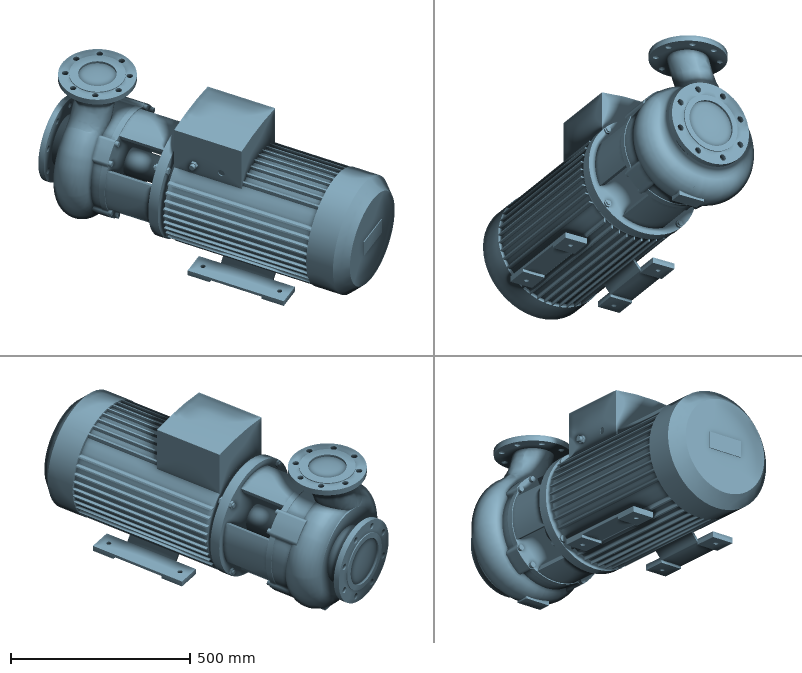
import cadquery as cq
import math


TUBE_R = 57.0
RIM_R = 258.7 / 2
RIM_CENTRE_Y = -18.53
TAIL_R = 117.3
TAIL_CENTRE = (-6.0, -10.5)
NOZZLE_START_ANGLE = 120.0
NOZZLE_TOP_SLOPE = 0.29
CASING_BACK_X = 83.0
COLLAR_R = 155.5
BASE_PAD = (40.0, 80.0, 60.0)
BASE_Z = -189.0

BOLT_HOLES = 8
FACE_HEIGHT = 3.0
FLANGE_T = 20.0
PORT_DEPTH = 7.0
SUCTION_X = -125.0
SUCTION_D = 250.0
SUCTION_FACE_D = 172.0
SUCTION_PCD = 210.0
SUCTION_HOLE_D = 19.0
SUCTION_BORE_D = 139.7
SUCTION_NECK_D = 149.7
SUCTION_HUB_D = 169.7
SUCTION_HUB_X = -84.0
DISCHARGE_Z = 280.0
DISCHARGE_D = 220.0
DISCHARGE_FACE_D = 158.0
DISCHARGE_PCD = 180.0
DISCHARGE_HOLE_D = 18.0
DISCHARGE_BORE_D = 107.1

LANTERN_PLATE_R = 157.5
LANTERN_PLATE_T = 18.0
ARM_OUTER_R = 155.0
ARM_INNER_R = 136.5
ARM_ANGLE = 50.2
MOTOR_FLANGE_X = 245.5
MOTOR_FLANGE_T = 29.5
MOTOR_FLANGE_D = 350.0
CASING_BOLT_D = 16.0
CASING_BOLT_LENGTH = 10.0
CASING_BOLT_YZ = (130.0, 89.0)
EAR_ROUND_R = 9.5
EAR_FILLET_R = 7.0
EAR_FRONT_X = 10.0
MATCH_TOLERANCE = 0.01
SHAFT_D = 80.0

FLANGE_BOLT_OFFSET = 116.0
FLANGE_BOLT_D = 13.0
FLANGE_BOLT_TIP = 11.0
NUT_ACROSS_FLATS = 19.0
NUT_T = 6.0

MOTOR_NECK_D = 269.0
MOTOR_X = 291.0
MOTOR_R = 175.0
CORE_R = 165.0
COWL_X = 737.0
COWL_CHAMFER_X = 820.0
COWL_BACK_X = 855.5
COWL_BACK_R = 140.0
FIN_COUNT = 9
FIN_PITCH = 24.0
FIN_T = 4.0
REAR_PLATE = (111.0, 49.0)
REAR_PLATE_Z = 5.5
REAR_X = 858.0

FOOT_X = 369.0
FOOT_LENGTH = 299.0
FOOT_OUTER_Y = 177.0
FOOT_WIDTH = 70.0
FOOT_TOP_Z = -165.0
FOOT_T = 17.0
FOOT_PAD_LENGTH = 69.0
FOOT_RELIEF = 8.0
FOOT_HOLE_D = 14.0
FOOT_HOLE_END = 30.0
LEG_LENGTH = 162.0
LEG_RISE = 35.0
LEG_RUN = 30.0
LEG_T = 10.0

BOX_SIDE = 210.0
BOX_BOTTOM_Z = 127.0
LID_Z = 177.5
LID_EDGE_Z = 263.0
LID_CROWN_Z = 270.0
ENTRY_Z = 161.0
ENTRY_SPACING = 84.0
ENTRY_D = 20.0
ENTRY_DEPTH = 3.0
GLAND_NUT_T = 8.0
GLAND_STEM_D = 16.0
GLAND_LENGTH = 18.0


def cylinder_x(x_start, x_end, diameter):
    """Cylinder along the X axis."""
    return cq.Workplane("YZ", origin=(x_start, 0, 0)).circle(diameter / 2).extrude(x_end - x_start)


def box_between(x_range, y_range, z_range):
    """Axis-aligned block given by its two limits on each axis."""
    lows, highs = zip(x_range, y_range, z_range)
    size = [high - low for low, high in zip(lows, highs)]
    return cq.Workplane("XY").box(*size, centered=False).translate(lows)


def rim_disc(rim_radius, angle):
    """Round-rimmed disc, or a sector of it, revolved about X from the +Y direction."""
    profile = (
        cq.Workplane("XY")
        .moveTo(-TUBE_R, 0)
        .lineTo(-TUBE_R, rim_radius)
        .threePointArc((0, rim_radius + TUBE_R), (TUBE_R, rim_radius))
        .lineTo(TUBE_R, 0)
        .close()
    )
    return profile.revolve(angle, (0, 0, 0), (1, 0, 0))


def drilled_flange(plane, diameter, face_d, pcd, hole_d):
    """Pipe flange with a raised face on its outer side, built outwards from the plane."""
    flange = cq.Workplane(plane).circle(diameter / 2).extrude(FLANGE_T - FACE_HEIGHT)
    flange = flange.union(cq.Workplane(plane).circle(face_d / 2).extrude(FLANGE_T))
    holes = (
        cq.Workplane(plane)
        .polarArray(pcd / 2, 180 / BOLT_HOLES, 360, BOLT_HOLES)
        .circle(hole_d / 2)
        .extrude(FLANGE_T)
    )
    return flange.cut(holes)


def make_casing():
    tail = rim_disc(TAIL_R, 360).translate((0, *TAIL_CENTRE))
    seam_angle = 270 + math.degrees(math.asin(-RIM_CENTRE_Y / RIM_R))
    rim = rim_disc(RIM_R, seam_angle - NOZZLE_START_ANGLE)
    rim = rim.rotate((0, 0, 0), (1, 0, 0), NOZZLE_START_ANGLE).translate((0, RIM_CENTRE_Y, 0))
    rim = rim.union(cylinder_x(-TUBE_R, TUBE_R, 2 * RIM_R).translate((0, RIM_CENTRE_Y, 0)))

    start = math.radians(NOZZLE_START_ANGLE)
    discharge_z = DISCHARGE_Z - FLANGE_T
    start_point = cq.Vector(0, RIM_CENTRE_Y + RIM_R * math.cos(start), RIM_R * math.sin(start))
    start_tangent = cq.Vector(0, math.sin(start), -math.cos(start))
    spine = cq.Edge.makeSpline(
        [start_point, cq.Vector(0, NOZZLE_TOP_SLOPE * FLANGE_T, DISCHARGE_Z)],
        tangents=[start_tangent, cq.Vector(0, NOZZLE_TOP_SLOPE, 1)],
    )
    pipe_plane = cq.Plane(origin=start_point, xDir=(1, 0, 0), normal=start_tangent)
    pipe = cq.Workplane(pipe_plane).circle(TUBE_R).sweep(cq.Workplane(cq.Wire.assembleEdges([spine])))
    flange_back = cq.Workplane("XY", origin=(0, 0, discharge_z))
    pipe = pipe.cut(flange_back.circle(DISCHARGE_D).extrude(DISCHARGE_D))

    suction_plane = cq.Plane(origin=(SUCTION_X + FLANGE_T, 0, 0), xDir=(0, 1, 0), normal=(-1, 0, 0))
    discharge_plane = cq.Plane(origin=(0, 0, discharge_z), xDir=(1, 0, 0), normal=(0, 0, 1))
    suction = drilled_flange(suction_plane, SUCTION_D, SUCTION_FACE_D, SUCTION_PCD, SUCTION_HOLE_D)
    discharge = drilled_flange(
        discharge_plane, DISCHARGE_D, DISCHARGE_FACE_D, DISCHARGE_PCD, DISCHARGE_HOLE_D
    )
    neck = cylinder_x(SUCTION_X + FLANGE_T, 0, SUCTION_NECK_D)
    hub = cylinder_x(SUCTION_HUB_X, 0, SUCTION_HUB_D)
    collar = eared_disc(EAR_FRONT_X, CASING_BACK_X, COLLAR_R)
    pad_x, pad_y, pad_z = BASE_PAD
    base_pad = box_between((-pad_x / 2, pad_x / 2), (-pad_y / 2, pad_y / 2), (BASE_Z, BASE_Z + pad_z))

    casing = tail
    for piece in (rim, pipe, collar, neck, hub, base_pad, suction, discharge):
        casing = casing.union(piece)
    suction_port = cylinder_x(SUCTION_X, SUCTION_X + PORT_DEPTH, SUCTION_BORE_D)
    discharge_port = (
        cq.Workplane("XY", origin=(0, 0, DISCHARGE_Z)).circle(DISCHARGE_BORE_D / 2).extrude(-PORT_DEPTH)
    )
    return casing.cut(suction_port).cut(discharge_port)


def eared_disc(x_start, x_end, radius):
    """Disc with four ears, each reaching around a pair of casing bolts."""
    ear_middle_r = math.hypot(*CASING_BOLT_YZ)
    long_side, short_side = CASING_BOLT_YZ
    length = x_end - x_start
    plane = cq.Workplane("YZ", origin=(x_start, 0, 0))
    ear = (
        plane.moveTo(0, 0)
        .lineTo(*outward(long_side, short_side))
        .radiusArc(outward(short_side, long_side), -(ear_middle_r + EAR_ROUND_R))
        .close()
        .extrude(length)
    )
    rounds = plane.pushPoints([(long_side, short_side), (short_side, long_side)])
    ear = ear.union(rounds.circle(EAR_ROUND_R).extrude(length))

    disc = cylinder_x(x_start, x_end, 2 * radius)
    for quarter in range(4):
        disc = disc.union(ear.rotate((0, 0, 0), (1, 0, 0), 90 * quarter))
    roots = disc.edges("|X").filter(lambda edge: is_ear_root(edge, radius))
    return roots.fillet(EAR_FILLET_R)


def outward(y, z):
    """Point on the outside of an ear, straight out from the casing bolt at y, z."""
    scale = 1 + EAR_ROUND_R / math.hypot(y, z)
    return (y * scale, z * scale)


def is_ear_root(edge, radius):
    """True for an edge where an ear meets the round of its disc."""
    middle = edge.Center()
    return abs(math.hypot(middle.y, middle.z) - radius) < MATCH_TOLERANCE


def make_lantern():
    plate_back = CASING_BACK_X + LANTERN_PLATE_T
    lantern = eared_disc(CASING_BACK_X, plate_back, LANTERN_PLATE_R)

    arm_ring = cylinder_x(plate_back, MOTOR_FLANGE_X, 2 * ARM_OUTER_R)
    arm_ring = arm_ring.cut(cylinder_x(plate_back, MOTOR_FLANGE_X, 2 * ARM_INNER_R))
    half_width = ARM_OUTER_R * math.tan(math.radians(ARM_ANGLE / 2))
    wedge = (
        cq.Workplane("YZ", origin=(plate_back, 0, 0))
        .polyline([(0, 0), (ARM_OUTER_R, half_width), (ARM_OUTER_R, -half_width)])
        .close()
        .extrude(MOTOR_FLANGE_X - plate_back)
    )
    motor_flange = cylinder_x(MOTOR_FLANGE_X, MOTOR_FLANGE_X + MOTOR_FLANGE_T, MOTOR_FLANGE_D)
    lantern = lantern.union(motor_flange)
    for quarter in range(4):
        lantern = lantern.union(arm_ring.intersect(wedge.rotate((0, 0, 0), (1, 0, 0), 90 * quarter)))

    long_side, short_side = CASING_BOLT_YZ
    bolt_places = [
        (y_sign * y, z_sign * z)
        for y, z in ((long_side, short_side), (short_side, long_side))
        for y_sign in (-1, 1)
        for z_sign in (-1, 1)
    ]
    bolt_heads = (
        cq.Workplane("YZ", origin=(plate_back, 0, 0))
        .pushPoints(bolt_places)
        .circle(CASING_BOLT_D / 2)
        .extrude(CASING_BOLT_LENGTH)
    )
    return lantern.union(bolt_heads)


def make_flange_bolt(y, z):
    """Stud through the motor flange with a hexagon nut on each face."""
    front = MOTOR_FLANGE_X
    back = MOTOR_FLANGE_X + MOTOR_FLANGE_T
    nut_corner_d = NUT_ACROSS_FLATS / math.cos(math.pi / 6)
    bolt = cylinder_x(front - FLANGE_BOLT_TIP, back + NUT_T, FLANGE_BOLT_D)
    for nut_x in (front - NUT_T, back):
        bolt = bolt.union(cq.Workplane("YZ", origin=(nut_x, 0, 0)).polygon(6, nut_corner_d).extrude(NUT_T))
    return bolt.translate((0, y, z))


def make_foot():
    """Foot on the +Y side: a plate relieved between two pads, and a leg up to the motor."""
    inner_y = FOOT_OUTER_Y - FOOT_WIDTH
    bottom_z = FOOT_TOP_Z - FOOT_T
    foot_end = FOOT_X + FOOT_LENGTH
    foot = box_between((FOOT_X, foot_end), (inner_y, FOOT_OUTER_Y), (bottom_z, FOOT_TOP_Z))
    relief = box_between(
        (FOOT_X + FOOT_PAD_LENGTH, foot_end - FOOT_PAD_LENGTH),
        (inner_y, FOOT_OUTER_Y),
        (bottom_z, bottom_z + FOOT_RELIEF),
    )
    middle_y = (inner_y + FOOT_OUTER_Y) / 2
    holes = (
        cq.Workplane("XY", origin=(0, 0, bottom_z))
        .pushPoints([(FOOT_X + FOOT_HOLE_END, middle_y), (foot_end - FOOT_HOLE_END, middle_y)])
        .circle(FOOT_HOLE_D / 2)
        .extrude(FOOT_T)
    )
    leg = (
        cq.Workplane("YZ", origin=(FOOT_X + (FOOT_LENGTH - LEG_LENGTH) / 2, 0, 0))
        .moveTo(inner_y, FOOT_TOP_Z)
        .lineTo(inner_y - LEG_RUN, FOOT_TOP_Z + LEG_RISE)
        .lineTo(inner_y - LEG_RUN - LEG_T, FOOT_TOP_Z + LEG_RISE)
        .lineTo(inner_y, FOOT_TOP_Z - LEG_T)
        .close()
        .extrude(LEG_LENGTH)
    )
    return foot.cut(relief).cut(holes).union(leg)


def make_motor():
    neck_x = MOTOR_FLANGE_X + MOTOR_FLANGE_T
    body = (
        cq.Workplane("XY")
        .moveTo(neck_x, 0)
        .lineTo(neck_x, MOTOR_NECK_D / 2)
        .lineTo(MOTOR_X, MOTOR_NECK_D / 2)
        .lineTo(MOTOR_X, CORE_R)
        .lineTo(COWL_X, CORE_R)
        .lineTo(COWL_X, MOTOR_R)
        .lineTo(COWL_CHAMFER_X, MOTOR_R)
        .lineTo(COWL_BACK_X, COWL_BACK_R)
        .lineTo(COWL_BACK_X, 0)
        .close()
        .revolve(360, (0, 0, 0), (1, 0, 0))
    )

    first_fin = -(FIN_COUNT - 1) / 2 * FIN_PITCH
    fin_places = [(0, first_fin + index * FIN_PITCH) for index in range(FIN_COUNT)]
    fins = (
        cq.Workplane("YZ", origin=(MOTOR_X, 0, 0))
        .pushPoints(fin_places)
        .rect(2 * MOTOR_R, FIN_T)
        .extrude(COWL_X - MOTOR_X)
    )
    fins = fins.intersect(cylinder_x(MOTOR_X, COWL_X, 2 * MOTOR_R))
    motor = body.union(fins).union(fins.rotate((0, 0, 0), (1, 0, 0), 90))

    box_space = box_between(
        (MOTOR_X, MOTOR_X + BOX_SIDE), (-BOX_SIDE / 2, BOX_SIDE / 2), (BOX_BOTTOM_Z, MOTOR_R)
    )
    motor = motor.cut(box_space.cut(cylinder_x(MOTOR_X, COWL_X, 2 * CORE_R)))

    foot = make_foot()
    motor = motor.union(foot).union(foot.mirror("XZ"))
    rear_plate = (
        cq.Workplane("YZ", origin=(COWL_BACK_X, 0, REAR_PLATE_Z))
        .rect(*REAR_PLATE)
        .extrude(REAR_X - COWL_BACK_X)
    )
    return motor.union(rear_plate)


def make_terminal_box():
    half = BOX_SIDE / 2
    box = box_between((MOTOR_X, MOTOR_X + BOX_SIDE), (-half, half), (BOX_BOTTOM_Z, LID_Z))
    box = box.cut(cylinder_x(MOTOR_X, COWL_X, 2 * CORE_R))
    gland_x = MOTOR_X + (BOX_SIDE - ENTRY_SPACING) / 2
    side = cq.Workplane("XZ", origin=(gland_x, -half, ENTRY_Z))
    nut = side.polygon(6, ENTRY_D / math.cos(math.pi / 6)).extrude(GLAND_NUT_T)
    stem = side.circle(GLAND_STEM_D / 2).extrude(GLAND_LENGTH)
    spare_entry = side.center(ENTRY_SPACING, 0).circle(ENTRY_D / 2).extrude(-ENTRY_DEPTH)
    return box.union(nut).union(stem).cut(spare_entry)


def make_lid():
    half = BOX_SIDE / 2
    return (
        cq.Workplane("YZ", origin=(MOTOR_X, 0, 0))
        .moveTo(-half, LID_Z)
        .lineTo(-half, LID_EDGE_Z)
        .threePointArc((0, LID_CROWN_Z), (half, LID_EDGE_Z))
        .lineTo(half, LID_Z)
        .close()
        .extrude(BOX_SIDE)
    )


casing = make_casing()
lantern = make_lantern()
shaft = cylinder_x(CASING_BACK_X + LANTERN_PLATE_T, MOTOR_FLANGE_X, SHAFT_D)
motor = make_motor()
terminal_box = make_terminal_box()
lid = make_lid()

flange_bolts = []
for y_side in (-1, 1):
    for z_side in (-1, 1):
        flange_bolts.append(make_flange_bolt(y_side * FLANGE_BOLT_OFFSET, z_side * FLANGE_BOLT_OFFSET))
for bolt in flange_bolts:
    lantern = lantern.cut(bolt)

result = cq.Compound.makeCompound(
    [
        casing.val(),
        lantern.val(),
        shaft.val(),
        motor.val(),
        terminal_box.val(),
        lid.val(),
        *[bolt.val() for bolt in flange_bolts],
    ]
)